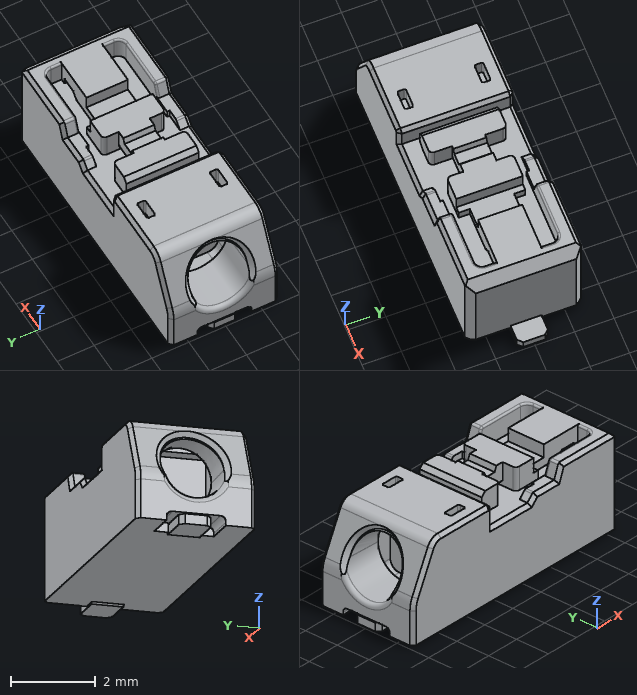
import cadquery as cq
import math

body_width = 2.95
body_bottom = 0.05
body_top = 2.7
body_end = 7.38
half_width = body_width / 2

nose_height = 1.19
nose_run = 0.74
nose_lower_radius = 0.79
nose_upper_radius = 0.395

saddle_start = 2.84
saddle_floor = 2.09
ramp_start = 4.19
ramp_end = 4.385
ledge_height = 2.29
ledge_end = 5.14
rise_end = 5.3
saddle_round = 0.08

side_bevel = 0.1
end_top_bevel = 0.28
end_side_bevel = 0.2
end_bottom_bevel = 0.095

bore_radius = 0.78
bore_height = 1.48
bore_end = 1.3
funnel_rise = 0.095
mouth_bevel = 0.135
chamber_floor = 0.54
chamber_floor_radius = 0.28
chamber_top = 2.15
chamber_end = 1.74

window_length = 0.51
window_width = 0.22
window_x = 2.05
window_y = 0.98
window_depth = 0.475
window_radius = 0.05

pocket_entry_half_width = 1.13
pocket_half_width = 1.06
pocket_step_x = 4.69
pocket_end = 6.9
pocket_corner_radius = 0.205
pocket_rim_radius = 0.055

island_start = 5.695
island_half_width = 0.56
lever_top = 2.75
lever_rear_step = 5.01
lever_step_height = 2.34
lever_block_end = 5.17
lever_block_half_width = 0.845
lever_block_radius = 0.11

passage_start = 6.18
passage_end = 6.76
passage_top = 2.26

bridge_half_width = 0.42
bridge_bevel = 0.1
bridge_slot_depth = 0.15
bridge_slot_start = 3.73
bridge_slot_end = 4.16
bridge_slot_inset = 0.06
hook_start = 3.0
hook_end = 3.65
hook_bottom = 2.14
hook_half_width = 0.98
hook_top_bevel = 0.13
hook_lower_run = 0.19
hook_lower_rise = 0.1

pad_half_width = 0.395
pad_thickness = 0.245
pad_corner_bevel = 0.12
pad_bend = 0.05
front_pad_end = 1.03
tail_start = 6.865
tail_end = 7.9
recess_half_width = 0.735
recess_top = 0.28
recess_radius = 0.14
recess_depth = 0.95

pick_margin = 0.02


def block(x_start, x_end, half_y, z_start, z_end):
    """Box centred on the XZ plane."""
    return (
        cq.Workplane("XY", origin=((x_start + x_end) / 2, 0, z_start))
        .rect(x_end - x_start, 2 * half_y)
        .extrude(z_end - z_start)
    )


def side_profile(points, half_y):
    """Closed XZ outline extruded equally to both sides of the XZ plane."""
    return cq.Workplane("XZ").polyline(points).close().extrude(half_y, both=True)


def near(x, z):
    """Selector for edges centred at the given X and Z, at any Y."""
    return cq.selectors.BoxSelector(
        (x - pick_margin, -body_width, z - pick_margin),
        (x + pick_margin, body_width, z + pick_margin),
    )


def make_housing():
    outline = [
        (0, body_bottom),
        (0, nose_height),
        (nose_run, body_top),
        (saddle_start, body_top),
        (saddle_start, saddle_floor),
        (ramp_start, saddle_floor),
        (ramp_end, ledge_height),
        (ledge_end, ledge_height),
        (rise_end, body_top),
        (body_end, body_top),
        (body_end, body_bottom),
    ]
    housing = side_profile(outline, half_width)
    housing = housing.edges(near(0, nose_height)).fillet(nose_lower_radius)
    housing = housing.edges(near(nose_run, body_top)).fillet(nose_upper_radius)
    housing = housing.edges(near(saddle_start, body_top)).chamfer(side_bevel)

    plain_edges = near(body_end / 2, body_bottom) + near(body_end, (body_bottom + body_top) / 2)
    crosswise = cq.selectors.StringSyntaxSelector("|Y")
    housing = housing.faces("<Y or >Y").edges(
        cq.selectors.SubtractSelector(cq.selectors.InverseSelector(plain_edges), crosswise)
    ).chamfer(side_bevel)

    crests = near(ramp_end, ledge_height) + near(rise_end, body_top)
    housing = housing.edges(cq.selectors.AndSelector(crests, crosswise)).fillet(saddle_round)

    housing = housing.edges(near(body_end, body_top)).chamfer(end_top_bevel)
    housing = housing.edges(near(body_end, body_bottom)).chamfer(end_bottom_bevel)
    return housing.intersect(end_side_bevel_envelope())


def end_side_bevel_envelope():
    return (
        block(0, body_end, half_width, 0, body_top)
        .edges("|Z and >X")
        .chamfer(end_side_bevel)
    )


def cut_wire_entry(housing):
    bore = cq.Workplane("YZ").center(0, bore_height).circle(bore_radius).extrude(bore_end)
    funnel = (
        cq.Workplane("YZ")
        .center(0, bore_height + funnel_rise)
        .circle(bore_radius)
        .workplane(offset=bore_end)
        .center(0, -funnel_rise)
        .circle(bore_radius)
        .loft()
    )
    housing = housing.cut(bore.union(funnel))
    housing = housing.cut(front_mouth_round()).cut(slope_mouth_bevel())

    chamber = (
        block(bore_end, chamber_end, bore_radius, chamber_floor, chamber_top)
        .edges("|X and <Z")
        .fillet(chamber_floor_radius)
    )
    return housing.cut(chamber)


def front_mouth_round():
    """Rounded lip opening the bore toward the upright nose face."""
    lip_radius = bore_radius + mouth_bevel
    sag = mouth_bevel * (1 - math.sqrt(0.5))
    return (
        cq.Workplane("XY", origin=(0, 0, bore_height))
        .lineTo(0, lip_radius)
        .threePointArc((sag, bore_radius + sag), (mouth_bevel, bore_radius))
        .lineTo(mouth_bevel, 0)
        .close()
        .revolve(360, (0, 0, 0), (1, 0, 0))
    )


def slope_mouth_bevel():
    """Slanted cone opening the funnel toward the sloped nose face."""
    slope_rise = body_top - nose_height
    stretch = math.hypot(nose_run, slope_rise) / slope_rise
    centre_height = bore_height + funnel_rise
    centre_x = nose_run * (centre_height - nose_height) / slope_rise

    def mouth_section(x, radius):
        return cq.Wire.makeEllipse(
            radius * stretch,
            radius,
            center=cq.Vector(x, 0, centre_height),
            normal=cq.Vector(slope_rise, 0, -nose_run),
            xDir=cq.Vector(nose_run, 0, slope_rise),
        )

    outer = mouth_section(centre_x, bore_radius + mouth_bevel)
    inner = mouth_section(centre_x + mouth_bevel * stretch, bore_radius)
    return cq.Workplane(obj=cq.Solid.makeLoft([outer, inner], True))


def make_windows():
    return (
        cq.Workplane("XY", origin=(window_x, 0, body_top - window_depth))
        .pushPoints([(0, -window_y), (0, window_y)])
        .rect(window_length, window_width)
        .extrude(window_depth)
        .edges("|Z")
        .fillet(window_radius)
    )


def cut_pocket(housing):
    entry = block(ramp_start, pocket_step_x, pocket_entry_half_width, saddle_floor, body_top)
    main = (
        block(ramp_end, pocket_end, pocket_half_width, saddle_floor, body_top)
        .edges("|Z and >X")
        .fillet(pocket_corner_radius)
    )
    housing = housing.cut(entry).cut(main)
    rim_reach = pocket_half_width + pick_margin
    upper_edges = cq.selectors.BoxSelector(
        (ledge_end, -rim_reach, (ledge_height + body_top) / 2 - pick_margin),
        (pocket_end + pick_margin, rim_reach, body_top + pick_margin),
    )
    upright = cq.selectors.StringSyntaxSelector("|Z")
    rim = cq.selectors.SubtractSelector(upper_edges, upright)
    return housing.edges(rim).fillet(pocket_rim_radius)


def make_lever():
    island_end = pocket_end + pocket_rim_radius
    island = block(island_start, island_end, island_half_width, saddle_floor, body_top)
    passage = side_profile(
        [
            (passage_start, saddle_floor),
            (passage_start + passage_top - saddle_floor, passage_top),
            (passage_end, passage_top),
            (passage_end, saddle_floor),
        ],
        island_half_width,
    )
    step = block(lever_rear_step, island_start, island_half_width, saddle_floor, lever_step_height)
    rear_block = (
        block(ramp_end, lever_block_end, lever_block_half_width, saddle_floor, lever_top)
        .edges("|Z and <X")
        .fillet(lever_block_radius)
        .cut(block(lever_rear_step, lever_block_end, half_width, lever_step_height, lever_top))
    )
    bridge = (
        block(hook_end, ramp_end, bridge_half_width, hook_bottom, lever_top)
        .edges("|X and <Z")
        .chamfer(bridge_bevel)
    )
    slot_floor = lever_top - bridge_slot_depth
    bridge_slot = side_profile(
        [
            (bridge_slot_start, lever_top),
            (bridge_slot_start + bridge_slot_inset, slot_floor),
            (bridge_slot_end - bridge_slot_inset, slot_floor),
            (bridge_slot_end, lever_top),
        ],
        half_width,
    )
    hook = side_profile(
        [
            (hook_start, hook_bottom + hook_lower_rise),
            (hook_start, lever_top - hook_top_bevel),
            (hook_start + hook_top_bevel, lever_top),
            (hook_end, lever_top),
            (hook_end, hook_bottom),
            (hook_start + hook_lower_run, hook_bottom),
        ],
        hook_half_width,
    )
    hook = hook.edges("|Z and >X").fillet(lever_block_radius)
    rear = rear_block.union(step).union(island.cut(passage))
    return rear.union(bridge.cut(bridge_slot)).union(hook)


def make_recess():
    return (
        block(0, recess_depth, recess_half_width, 0, recess_top)
        .edges("|X and >Z")
        .fillet(recess_radius)
    )


def make_pads():
    front_pad = (
        block(0, front_pad_end, pad_half_width, 0, pad_thickness)
        .edges("|Z and <X")
        .chamfer(pad_corner_bevel)
        .edges(">X and <Z")
        .chamfer(pad_bend)
    )
    tail = (
        block(tail_start, tail_end, pad_half_width, 0, pad_thickness)
        .edges("|Z and >X")
        .chamfer(pad_corner_bevel)
        .edges("<X and <Z")
        .chamfer(pad_bend)
    )
    return front_pad.union(tail)


housing = cut_wire_entry(make_housing())
housing = cut_pocket(housing)
housing = housing.cut(make_windows()).cut(make_recess())
result = housing.union(make_lever()).union(make_pads())